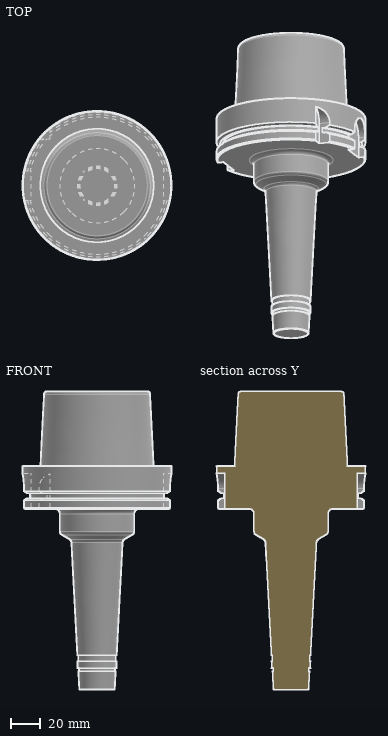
import cadquery as cq
import math


taper_height = 50.0
taper_base_radius = 38.0
taper_slope = 1 / 20
taper_tip_radius = taper_base_radius - taper_slope * taper_height
taper_tip_fillet = 2.0

flange_radius = 50.0
flange_thickness = 29.0
flange_top_chamfer = 0.4
flange_bottom_chamfer = 0.8
groove_center_z = -20.0
groove_floor_radius = 46.0
groove_floor_width = 3.1
groove_ledge_radius = 47.7
groove_mouth_width = 6.3

collar_radius = 25.0
collar_root_fillet = 3.0
cone_start_z = -45.4
cone_angle = 30.0
cone_fillet = 2.5

nose_end_z = -150.0
nose_top_radius = 17.3
nose_angle = 3.0
nose_taper_end_z = -127.0
ring_groove_radius = 12.6
ring_radius = 13.1
ring_top_z = -131.0
ring_bottom_z = -135.5
relief_radius = 12.2
tip_top_z = -137.6
tip_top_radius = 12.6
tip_end_radius = 11.9
tip_chamfer = 0.4

slot_width = 20.0
slot_height = 24.0
drive_slot_floor = 44.5
notch_floor = 31.5
notch_center_y = 41.4


def make_taper():
    taper = (
        cq.Workplane("XZ")
        .polyline([(0, 0), (taper_base_radius, 0), (taper_tip_radius, taper_height), (0, taper_height)])
        .close()
        .revolve(360, (0, 0), (0, 1))
    )
    return taper.faces(">Z").edges().fillet(taper_tip_fillet)


def make_flange():
    flange = cq.Workplane("XY").circle(flange_radius).extrude(-flange_thickness)
    flange = flange.faces(">Z").edges().chamfer(flange_top_chamfer)
    flange = flange.faces("<Z").edges().chamfer(flange_bottom_chamfer)

    half_floor = groove_floor_width / 2
    half_mouth = groove_mouth_width / 2
    groove = (
        cq.Workplane("XZ")
        .moveTo(groove_floor_radius, groove_center_z - half_floor)
        .lineTo(groove_floor_radius, groove_center_z + half_floor)
        .lineTo(groove_ledge_radius, groove_center_z + half_floor)
        .lineTo(flange_radius, groove_center_z + half_mouth)
        .lineTo(flange_radius, groove_center_z - half_mouth)
        .lineTo(groove_ledge_radius, groove_center_z - half_floor)
        .close()
        .revolve(360, (0, 0), (0, 1))
    )
    return flange.cut(groove)


def make_slot_cutter(center_y, floor_distance, side):
    """Round-topped slot cut along X from outside the flange to a flat floor; side is -1 or +1."""
    radius = slot_width / 2
    arc_center_z = slot_height - radius - flange_thickness
    return (
        cq.Workplane("YZ", origin=(side * floor_distance, center_y, 0))
        .moveTo(-radius, -flange_thickness)
        .lineTo(-radius, arc_center_z)
        .threePointArc((0, arc_center_z + radius), (radius, arc_center_z))
        .lineTo(radius, -flange_thickness)
        .close()
        .extrude(side * flange_radius)
    )


def make_collar_and_nose():
    cone_drop = (collar_radius - nose_top_radius) * math.tan(math.radians(cone_angle))
    cone_end_z = cone_start_z - cone_drop
    nose_slope = math.tan(math.radians(nose_angle))
    nose_taper_end_radius = nose_top_radius - (cone_end_z - nose_taper_end_z) * nose_slope
    root_z = -flange_thickness
    fillet_end_z = root_z - collar_root_fillet
    root_radius = collar_radius + collar_root_fillet
    arc_offset = collar_root_fillet * math.sqrt(0.5)

    body = (
        cq.Workplane("XZ")
        .moveTo(0, root_z)
        .lineTo(root_radius, root_z)
        .threePointArc((root_radius - arc_offset, fillet_end_z + arc_offset), (collar_radius, fillet_end_z))
        .lineTo(collar_radius, cone_start_z)
        .lineTo(nose_top_radius, cone_end_z)
        .lineTo(nose_taper_end_radius, nose_taper_end_z)
        .lineTo(ring_groove_radius, nose_taper_end_z)
        .lineTo(ring_groove_radius, ring_top_z)
        .lineTo(ring_radius, ring_top_z)
        .lineTo(ring_radius, ring_bottom_z)
        .lineTo(relief_radius, ring_bottom_z)
        .lineTo(relief_radius, tip_top_z)
        .lineTo(tip_top_radius, tip_top_z)
        .lineTo(tip_end_radius, nose_end_z)
        .lineTo(0, nose_end_z)
        .close()
        .revolve(360, (0, 0), (0, 1))
    )
    selection_margin = 1.0
    cone_ends = cq.selectors.BoxSelector(
        (-flange_radius, -flange_radius, cone_end_z - selection_margin),
        (flange_radius, flange_radius, cone_start_z + selection_margin),
    )
    body = body.edges("%CIRCLE").edges(cone_ends).fillet(cone_fillet)
    return body.faces("<Z").edges().chamfer(tip_chamfer)


flange = make_flange()
for side in (-1, 1):
    flange = flange.cut(make_slot_cutter(0, drive_slot_floor, side))
flange = flange.cut(make_slot_cutter(notch_center_y, notch_floor, -1))

result = flange.union(make_taper()).union(make_collar_and_nose())